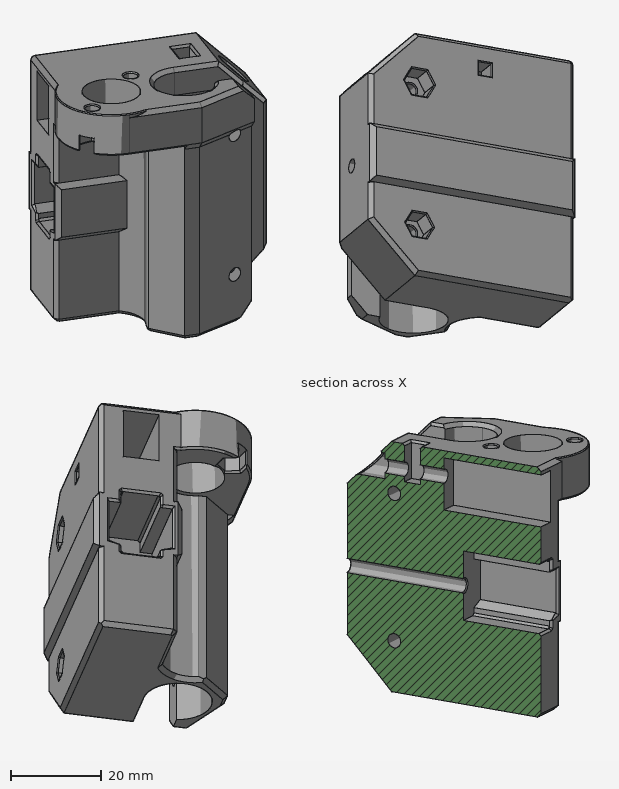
import cadquery as cq
import math

HEIGHT = 58.0
FRONT_Y = 1.45
BACK_Y = 51.5
CORNER_CUT = 11.5
EDGE = 1.0
BODY_LEFT = 1.15
BODY_RIGHT = 18.95

BAND_DEPTH = 1.15
BAND_BOTTOM = 20.3
BAND_TOP = 34.2

AXIS_X = 25.5
RING_R = 12.45
RING_Y = RING_R
RING_BORE_D = 13.0
CLAMP_Y = RING_Y + 17.0
PLATE_BOTTOM = 47.95
CLAMP_R = 7.65
CLAMP_LIP_R = 6.7
SEAT_TOP = 51.55
PLATE_RIGHT = AXIS_X + RING_R
RING_TOP_EDGE = 0.25
RING_BOTTOM_EDGE = 0.45

JAW_INNER_X = 27.0
JAW_TIP_X = 31.1
JAW_TIP_Y = 43.95
JAW_INSET = 1.9
JAW_FRONT_Y = RING_Y + 7.25
JAW_FRONT_END_X = 29.75
SLOT_EDGE = 0.9
JAW_EDGE = 0.65
CLAMP_LEFT_X = 16.25

SCREW_D = 3.2
SCREW_MOUTH_D = 3.7
SCREW_EDGE = (SCREW_MOUTH_D - SCREW_D) / 2
UPPER_HEX_D = 7.2
LOWER_HEX_D = 6.6
HEX_DEPTH = 5.0
HEX_EDGE = 0.3
CLAMP_SCREW_Y = 39.3
CLAMP_SCREW_INSET = 11.95
RING_SCREW_RADIUS = 9.5
RING_NUT_DEPTH = 4.05
RING_NUT_D = 6.5
RING_NUT_SLOT_WIDTH = 3.7

BELT_X = 10.6
TENSIONER_Z = 52.0
TENSIONER_WIDTH = 8.1
TENSIONER_BOTTOM = 44.25
TENSIONER_TOP = 56.2
POCKET_DEPTH = 25.0
HEAD_D = 5.8
HEAD_FLOOR_Y = 41.75
HEAD_EDGE = 0.5
NUT_WIDTH = 5.7
NUT_LENGTH = 4.0
NUT_Y = 34.6
NUT_EDGE = 0.5
WINDOW_SIZE = 3.15
WINDOW_Y = 23.3
WINDOW_EDGE = 0.25

CROSS_DEPTH = 20.0
CROSS_Z = 27.45
CROSS_HALF_WIDTH = 7.2
CROSS_ARM_HALF_WIDTH = 4.45
CROSS_TOP = 35.45
CROSS_SHOULDER = 32.5
CROSS_LOWER_SHOULDER = 22.4
CROSS_LOWER_ARM = 21.2
CROSS_BOTTOM = 19.5
CROSS_EDGE = 0.5

INTO_FRONT = ((-1, 0, 0), (0, 1, 0))
INTO_LEFT = ((0, 1, 0), (1, 0, 0))
INTO_TOP = ((1, 0, 0), (0, 0, -1))
INTO_BOTTOM = ((1, 0, 0), (0, 0, 1))
INTO_BACK = ((1, 0, 0), (0, -1, 0))


def box(x0, x1, y0, y1, z0, z1):
    return cq.Workplane("XY").box(x1 - x0, y1 - y0, z1 - z0, centered=False).translate((x0, y0, z0))


def side_profile(x0, x1):
    """Main side silhouette, extruded between two X positions."""
    points = [
        (FRONT_Y, 0),
        (BACK_Y - CORNER_CUT, 0),
        (BACK_Y, CORNER_CUT),
        (BACK_Y, HEIGHT - CORNER_CUT),
        (BACK_Y - CORNER_CUT, HEIGHT),
        (FRONT_Y, HEIGHT),
    ]
    return cq.Workplane("YZ").polyline(points).close().extrude(x1 - x0).translate((x0, 0, 0))


def clamp_slot(workplane, radius):
    """Round seat that opens to the back between the body and the jaw."""
    jaw_meet_y = CLAMP_Y + math.sqrt(radius**2 - (JAW_INNER_X - AXIS_X) ** 2)
    wall_x = AXIS_X - radius
    return (
        workplane.moveTo(wall_x, CLAMP_Y)
        .threePointArc((AXIS_X, CLAMP_Y - radius), (AXIS_X + radius, CLAMP_Y))
        .threePointArc(
            (AXIS_X + radius * math.sqrt(0.5), CLAMP_Y + radius * math.sqrt(0.5)),
            (JAW_INNER_X, jaw_meet_y),
        )
        .lineTo(JAW_INNER_X, BACK_Y + EDGE)
        .lineTo(wall_x, BACK_Y + EDGE)
        .close()
    )


def edges_of(shape, test):
    """Workplane holding the edges of a shape that pass the test."""
    return shape.newObject([edge for edge in shape.edges().vals() if test(edge)])


def sunk(outline, start, direction, depth, mouth=0):
    """Straight pocket or hole of a given depth, with an optional 45 degree chamfer at its mouth."""
    x_dir, normal = direction
    plane = cq.Plane(origin=start, xDir=x_dir, normal=normal)
    cutter = outline(cq.Workplane(plane), 0).extrude(depth)
    if mouth:
        cutter = cutter.union(outline(cq.Workplane(plane), mouth).extrude(mouth, taper=45))
    return cutter


def round_outline(diameter):
    return lambda workplane, grow: workplane.circle(diameter / 2 + grow)


def rect_outline(width, length):
    return lambda workplane, grow: workplane.rect(width + 2 * grow, length + 2 * grow)


def hex_outline(corner_d):
    return lambda workplane, grow: workplane.polygon(6, corner_d + 2 * grow / math.cos(math.pi / 6))


def cross_outline(workplane, grow):
    """Belt clamp cross, drawn around the belt axis."""
    half = CROSS_HALF_WIDTH + grow
    arm = CROSS_ARM_HALF_WIDTH + grow
    right_side = [
        (arm - CROSS_EDGE, CROSS_BOTTOM - grow),
        (arm, CROSS_BOTTOM - grow + CROSS_EDGE),
        (arm, CROSS_LOWER_ARM),
        (half, CROSS_LOWER_SHOULDER - grow),
        (half, CROSS_SHOULDER + grow),
        (arm, CROSS_SHOULDER + grow),
        (arm, CROSS_TOP + grow - CROSS_EDGE),
        (arm - CROSS_EDGE, CROSS_TOP + grow),
    ]
    left_side = [(-x, z) for x, z in reversed(right_side)]
    return workplane.polyline([(x, z - CROSS_Z) for x, z in right_side + left_side]).close()


def jaw_outline(workplane, right_x, tip_x, front_y, left_x):
    return workplane.polyline([
        (left_x, front_y), (right_x, front_y), (right_x, CLAMP_Y),
        (tip_x, JAW_TIP_Y), (JAW_INNER_X, JAW_TIP_Y), (left_x, CLAMP_Y),
    ]).close()


body = side_profile(BODY_LEFT, BODY_RIGHT)
body = body.edges("<X or (<Y and |Z and >X)").chamfer(EDGE)
band = (
    box(BODY_LEFT - BAND_DEPTH, BODY_RIGHT + BAND_DEPTH, FRONT_Y, BACK_Y, BAND_BOTTOM, BAND_TOP)
    .faces("<X or >X").edges().chamfer(BAND_DEPTH)
)
body = body.union(band)

jaw_right = PLATE_RIGHT - JAW_INSET
jaw_tip = JAW_TIP_X - JAW_INSET
jaw_bend_y = JAW_FRONT_Y + jaw_right - JAW_FRONT_END_X
envelope = side_profile(0, PLATE_RIGHT)
clamp = (
    cq.Workplane("XY")
    .polyline([
        (CLAMP_LEFT_X, RING_Y), (AXIS_X, RING_Y), (AXIS_X, JAW_FRONT_Y), (JAW_FRONT_END_X, JAW_FRONT_Y),
        (jaw_right, jaw_bend_y), (jaw_right, CLAMP_Y), (jaw_tip, JAW_TIP_Y),
        (JAW_INNER_X, JAW_TIP_Y), (JAW_INNER_X, CLAMP_Y), (CLAMP_LEFT_X, CLAMP_Y),
    ])
    .close().extrude(PLATE_BOTTOM)
)
clearance = sunk(round_outline(CLAMP_R * 2), (AXIS_X, RING_Y, 0), INTO_BOTTOM, PLATE_BOTTOM, EDGE)
clamp = clamp.cut(clearance)
lower = body.union(clamp).intersect(envelope)

lower = edges_of(
    lower,
    lambda edge: edge.BoundingBox().zmax < 0.005
    and edge.geomType() == "LINE"
    and edge.Center().x > BODY_LEFT + 2 * EDGE
    and edge.Center().y < BACK_Y - CORNER_CUT - EDGE
    and (edge.Center().y < CLAMP_Y or edge.Center().x > JAW_INNER_X + EDGE),
).chamfer(EDGE)
lower = lower.edges("|X and >Z and <Y").chamfer(EDGE)

flare_top = PLATE_BOTTOM + RING_BOTTOM_EDGE
flare = jaw_outline(
    cq.Workplane("XY", origin=(0, 0, flare_top - JAW_INSET)), jaw_right, jaw_tip, jaw_bend_y, AXIS_X
)
flare = jaw_outline(
    flare.workplane(offset=JAW_INSET), PLATE_RIGHT, JAW_TIP_X, jaw_bend_y, AXIS_X
).loft(ruled=True)

plate = (
    cq.Workplane("XY", origin=(0, 0, PLATE_BOTTOM))
    .polyline([
        (CLAMP_LEFT_X, FRONT_Y), (AXIS_X, FRONT_Y), (AXIS_X, RING_Y), (PLATE_RIGHT, RING_Y),
        (PLATE_RIGHT, CLAMP_Y), (JAW_TIP_X, JAW_TIP_Y), (JAW_INNER_X, JAW_TIP_Y),
        (JAW_INNER_X, CLAMP_Y), (CLAMP_LEFT_X, CLAMP_Y),
    ])
    .close().extrude(HEIGHT - PLATE_BOTTOM)
    .intersect(envelope)
)
plate = plate.edges("|X and >Z and <Y").chamfer(EDGE)
plate = plate.edges("|X and <Z and <Y").chamfer(RING_BOTTOM_EDGE)
plate = edges_of(
    plate,
    lambda edge: edge.BoundingBox().zmax < PLATE_BOTTOM + 0.005
    and edge.Center().x > JAW_TIP_X + EDGE
    and edge.Center().y > RING_Y + EDGE,
).chamfer(RING_BOTTOM_EDGE)
plate = edges_of(
    plate,
    lambda edge: edge.BoundingBox().zmin > HEIGHT - 0.005
    and edge.Center().x > JAW_TIP_X + EDGE
    and edge.Center().y > RING_Y + EDGE,
).chamfer(EDGE)
solid = lower.union(flare.intersect(envelope)).union(plate)

ring = (
    cq.Workplane("XY", origin=(AXIS_X, RING_Y, PLATE_BOTTOM)).circle(RING_R).extrude(HEIGHT - PLATE_BOTTOM)
    .faces(">Z").chamfer(RING_TOP_EDGE)
    .faces("<Z").chamfer(RING_BOTTOM_EDGE)
)
solid = solid.union(ring)

seat = clamp_slot(cq.Workplane("XY"), CLAMP_R).extrude(SEAT_TOP)
lip = clamp_slot(cq.Workplane("XY"), CLAMP_LIP_R).extrude(HEIGHT)
solid = solid.cut(seat).cut(lip)


def on_outer_skin(point):
    """True on the top face, the upper back cut and the back face."""
    on_top = point.z > HEIGHT - 0.005
    on_cut = abs(point.y + point.z - BACK_Y - HEIGHT + CORNER_CUT) < 0.005
    return on_top or on_cut or point.y > BACK_Y - 0.005


def ends_on_skin(edge):
    return on_outer_skin(edge.startPoint()) and on_outer_skin(edge.endPoint())


def on_slot_rim(edge):
    """Outer edges of the slot wall on the body side and of the lip bore."""
    bounds = edge.BoundingBox()
    on_wall = bounds.xmin > AXIS_X - CLAMP_R - 0.005 and bounds.xmax < AXIS_X - CLAMP_LIP_R + 0.005
    on_bore = edge.geomType() == "CIRCLE" and abs(edge.radius() - CLAMP_LIP_R) < 0.005
    return ends_on_skin(edge) and bounds.zmin > CORNER_CUT - 0.005 and (on_wall or on_bore)


def on_jaw_rim(edge):
    """Upper outer edges of the inner jaw face."""
    bounds = edge.BoundingBox()
    on_face = bounds.xmin > JAW_INNER_X - 0.005 and bounds.xmax < JAW_INNER_X + 0.005
    return ends_on_skin(edge) and on_face and bounds.zmin > SEAT_TOP


solid = edges_of(solid, on_jaw_rim).chamfer(JAW_EDGE)
solid = edges_of(solid, on_slot_rim).chamfer(SLOT_EDGE)

ring_height = HEIGHT - PLATE_BOTTOM
solid = solid.cut(sunk(round_outline(RING_BORE_D), (AXIS_X, RING_Y, HEIGHT), INTO_TOP, ring_height))

diagonal = RING_SCREW_RADIUS * math.sqrt(0.5)
for x, y in ((AXIS_X - diagonal, RING_Y + diagonal), (AXIS_X + diagonal, RING_Y - diagonal)):
    solid = solid.cut(sunk(round_outline(SCREW_D), (x, y, HEIGHT), INTO_TOP, ring_height, SCREW_EDGE))

ring_nut = sunk(hex_outline(RING_NUT_D), (0, 0, 0), INTO_BOTTOM, RING_NUT_DEPTH, RING_BOTTOM_EDGE)
ring_nut = ring_nut.rotate((0, 0, 0), (0, 0, 1), 30)
nut_exit = box(0, RING_R, -RING_NUT_SLOT_WIDTH / 2, RING_NUT_SLOT_WIDTH / 2, 0, RING_NUT_DEPTH)
ring_nut = (
    ring_nut.union(nut_exit)
    .rotate((0, 0, 0), (0, 0, 1), -45)
    .translate((AXIS_X + diagonal, RING_Y - diagonal, PLATE_BOTTOM))
)
solid = solid.cut(ring_nut)

for z, hex_d in ((CLAMP_SCREW_INSET, LOWER_HEX_D), (HEIGHT - CLAMP_SCREW_INSET, UPPER_HEX_D)):
    start = (BODY_LEFT, CLAMP_SCREW_Y, z)
    nut_floor = (BODY_LEFT + HEX_DEPTH, CLAMP_SCREW_Y, z)
    solid = solid.cut(sunk(hex_outline(hex_d), start, INTO_LEFT, HEX_DEPTH, HEX_EDGE))
    solid = solid.cut(sunk(round_outline(SCREW_D), nut_floor, INTO_LEFT, PLATE_RIGHT, SCREW_EDGE))

head_bore = sunk(round_outline(HEAD_D), (BELT_X, BACK_Y, TENSIONER_Z), INTO_BACK, BACK_Y - HEAD_FLOOR_Y)
solid = solid.cut(head_bore)
solid = edges_of(
    solid,
    lambda edge: edge.geomType() == "ELLIPSE"
    and abs(edge.Center().x - BELT_X) < HEAD_D / 2
    and edge.Center().y > HEAD_FLOOR_Y,
).chamfer(HEAD_EDGE)
tensioner_height = TENSIONER_TOP - TENSIONER_BOTTOM
tensioner = sunk(
    rect_outline(TENSIONER_WIDTH, tensioner_height),
    (BELT_X, FRONT_Y, TENSIONER_BOTTOM + tensioner_height / 2), INTO_FRONT, POCKET_DEPTH,
)
nut_slot = sunk(
    rect_outline(NUT_WIDTH, NUT_LENGTH), (BELT_X, NUT_Y, HEIGHT), INTO_TOP,
    HEIGHT - TENSIONER_Z + NUT_WIDTH / 2, NUT_EDGE,
)
window = sunk(
    rect_outline(WINDOW_SIZE, WINDOW_SIZE), (BODY_LEFT, WINDOW_Y, TENSIONER_Z), INTO_LEFT,
    BELT_X - BODY_LEFT, WINDOW_EDGE,
)
tensioner_screw = sunk(round_outline(SCREW_D), (BELT_X, FRONT_Y, TENSIONER_Z), INTO_FRONT, BACK_Y)
solid = solid.cut(tensioner).cut(nut_slot).cut(window).cut(tensioner_screw)

cross = sunk(cross_outline, (BELT_X, FRONT_Y, CROSS_Z), INTO_FRONT, CROSS_DEPTH, CROSS_EDGE)
cross_screw = sunk(
    round_outline(SCREW_D), (BELT_X, FRONT_Y + CROSS_DEPTH, CROSS_Z), INTO_FRONT, BACK_Y, SCREW_EDGE
)
result = solid.cut(cross).cut(cross_screw)